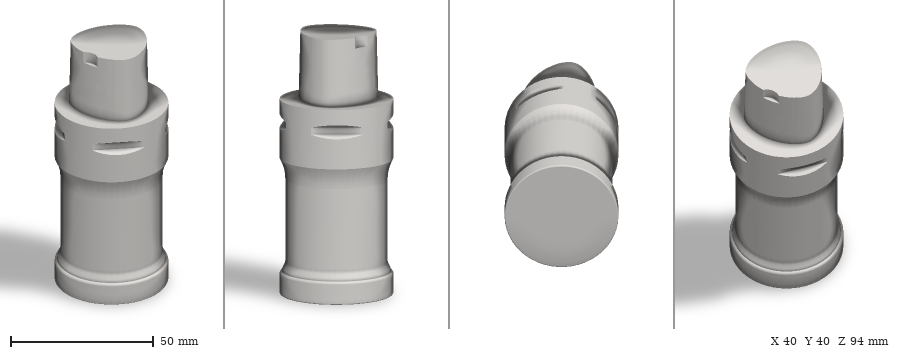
import cadquery as cq
import math

TOTAL_HEIGHT = 94.0
SHANK_HEIGHT = 24.0
FLANGE_TOP = TOTAL_HEIGHT - SHANK_HEIGHT
FLANGE_RADIUS = 20.0
BARREL_RADIUS = 18.0

SWEEP_RADIUS = 15.0
SWEEP_END = 41.2
SWEEP_ANGLE = math.acos(1 - (FLANGE_RADIUS - BARREL_RADIUS) / SWEEP_RADIUS)
SWEEP_START = SWEEP_END + SWEEP_RADIUS * math.sin(SWEEP_ANGLE)

CAP_HEIGHT = 8.3
CAP_RADIUS = 20.0
CAP_TOP_FILLET = 1.0
CAP_BOTTOM_FILLET = 0.5
SHOULDER_RADIUS = 19.1
SHOULDER_RIM_HEIGHT = 0.3
SHOULDER_SLOPE = math.radians(25)
SHOULDER_FILLET = 2.0

SHANK_MEAN_RADIUS = 14.0
LOBE_HEIGHT = 1.0
SHANK_TAPER = 1 / 20
SHANK_TOP_RADIUS = SHANK_MEAN_RADIUS - SHANK_HEIGHT * SHANK_TAPER / 2
SHANK_FACES = 6
POINTS_PER_FACE = 6

NOTCH_DEPTH = 4.0
NOTCH_RADIUS = 4.5
NOTCH_INNER_Y = -11.0

GROOVE_COUNT = 4
GROOVE_START_ANGLE = 45.0
GROOVE_DEPTH = 2.25
GROOVE_FLOOR_WIDTH = 2.45
GROOVE_WALL_SLOPE = math.radians(30)
GROOVE_CENTER_Z = FLANGE_TOP - 8.0


def shank_point(mean_radius, angle):
    """Point of the constant-width trilobe where the outline's normal points along angle."""
    lobe_angle = angle - math.pi / 2
    reach = mean_radius + LOBE_HEIGHT * math.cos(3 * lobe_angle)
    drift = -3 * LOBE_HEIGHT * math.sin(3 * lobe_angle)
    x = reach * math.cos(angle) - drift * math.sin(angle)
    y = reach * math.sin(angle) + drift * math.cos(angle)
    return cq.Vector(x, y, 0)


def shank_outline(mean_radius, z):
    """Closed trilobe wire: lobes and flanks alternate as separate spline edges."""
    face_angle = 2 * math.pi / SHANK_FACES
    lift = cq.Vector(0, 0, z)
    edges = []
    for face in range(SHANK_FACES):
        start = face * face_angle
        angles = [start + face_angle * i / POINTS_PER_FACE for i in range(POINTS_PER_FACE + 1)]
        points = [shank_point(mean_radius, angle) + lift for angle in angles]
        tangents = [cq.Vector(-math.sin(a), math.cos(a), 0) for a in (angles[0], angles[-1])]
        edges.append(cq.Edge.makeSpline(points, tangents=tangents))
    return cq.Wire.assembleEdges(edges)


def make_shank():
    base = shank_outline(SHANK_MEAN_RADIUS, FLANGE_TOP)
    top = shank_outline(SHANK_TOP_RADIUS, TOTAL_HEIGHT)
    return cq.Workplane(cq.Solid.makeLoft([base, top], True))


def make_notch():
    return (
        cq.Workplane("XY", origin=(0, NOTCH_INNER_Y - NOTCH_RADIUS, TOTAL_HEIGHT - NOTCH_DEPTH))
        .circle(NOTCH_RADIUS)
        .extrude(NOTCH_DEPTH)
    )


def make_groove():
    """Cutter on the +X side: a flat floor with walls that open outward."""
    floor_x = FLANGE_RADIUS - GROOVE_DEPTH
    half_floor = GROOVE_FLOOR_WIDTH / 2
    half_mouth = half_floor + GROOVE_DEPTH * math.tan(GROOVE_WALL_SLOPE)
    return (
        cq.Workplane("XZ", origin=(0, 0, GROOVE_CENTER_Z))
        .moveTo(floor_x, -half_floor)
        .lineTo(FLANGE_RADIUS, -half_mouth)
        .lineTo(FLANGE_RADIUS, half_mouth)
        .lineTo(floor_x, half_floor)
        .close()
        .extrude(FLANGE_RADIUS, both=True)
    )


def make_turned_body():
    """Flange, sweep, barrel and shoulder revolved about Z."""
    sweep_center_r = BARREL_RADIUS + SWEEP_RADIUS
    half_sweep = SWEEP_ANGLE / 2
    sweep_middle = (
        sweep_center_r - SWEEP_RADIUS * math.cos(half_sweep),
        SWEEP_END + SWEEP_RADIUS * math.sin(half_sweep),
    )

    rim_top = CAP_HEIGHT + SHOULDER_RIM_HEIGHT
    arc_width = SHOULDER_FILLET * (1 - math.cos(SHOULDER_SLOPE))
    arc_height = SHOULDER_FILLET * math.sin(SHOULDER_SLOPE)
    middle_width = SHOULDER_FILLET * (1 - math.cos(SHOULDER_SLOPE / 2))
    middle_height = SHOULDER_FILLET * math.sin(SHOULDER_SLOPE / 2)
    cone_bottom_r = SHOULDER_RADIUS - arc_width
    cone_top_r = BARREL_RADIUS + arc_width
    cone_bottom = rim_top + arc_height
    cone_top = cone_bottom + (cone_bottom_r - cone_top_r) / math.tan(SHOULDER_SLOPE)
    barrel_bottom = cone_top + arc_height
    round_middle = (SHOULDER_RADIUS - middle_width, rim_top + middle_height)
    fillet_middle = (BARREL_RADIUS + middle_width, barrel_bottom - middle_height)

    return (
        cq.Workplane("XZ")
        .moveTo(0, CAP_HEIGHT)
        .lineTo(SHOULDER_RADIUS, CAP_HEIGHT)
        .lineTo(SHOULDER_RADIUS, rim_top)
        .threePointArc(round_middle, (cone_bottom_r, cone_bottom))
        .lineTo(cone_top_r, cone_top)
        .threePointArc(fillet_middle, (BARREL_RADIUS, barrel_bottom))
        .lineTo(BARREL_RADIUS, SWEEP_END)
        .threePointArc(sweep_middle, (FLANGE_RADIUS, SWEEP_START))
        .lineTo(FLANGE_RADIUS, FLANGE_TOP)
        .lineTo(0, FLANGE_TOP)
        .close()
        .revolve()
    )


def make_holder():
    holder = make_turned_body().union(make_shank()).cut(make_notch())
    groove = make_groove()
    for i in range(GROOVE_COUNT):
        angle = GROOVE_START_ANGLE + i * 360 / GROOVE_COUNT
        holder = holder.cut(groove.rotate((0, 0, 0), (0, 0, 1), angle))
    return holder.solids()


def make_cap():
    return (
        cq.Workplane("XY")
        .circle(CAP_RADIUS)
        .extrude(CAP_HEIGHT)
        .faces(">Z").edges().fillet(CAP_TOP_FILLET)
        .faces("<Z").edges().fillet(CAP_BOTTOM_FILLET)
    )


holder = make_holder()
cap = make_cap()
result = cq.Compound.makeCompound([holder.val(), cap.val()])